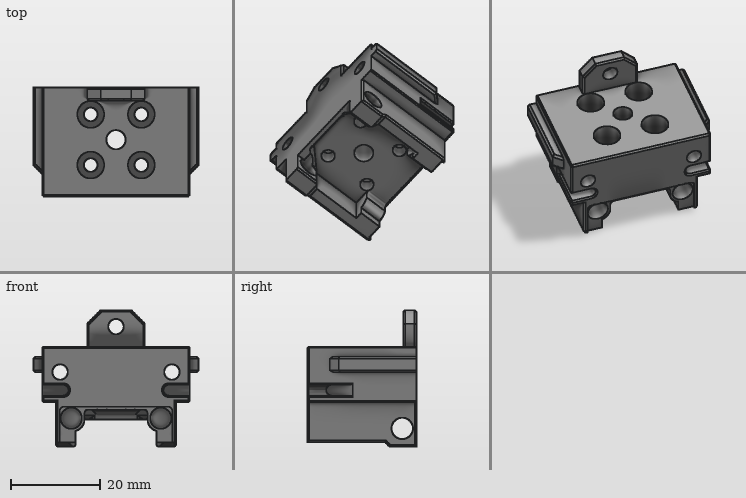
import cadquery as cq
import math

BACK_Y = 11.73
DEPTH = 24.43
FRONT_Y = BACK_Y - DEPTH
EDGE_CHAMFER = 0.4
SIDE_CHAMFER = 0.3
BACK_CHAMFER = 0.5
SCREW_DIA = 3.4

BODY_HALF = 16.5
BODY_BOTTOM = 10.0
BODY_TOP = 22.4
SKIRT_HALF = 13.45

FOOT_DROP = 1.0
FOOT_LENGTH = 6.05
LEG_INNER = 9.0

TAB_TOP = 30.56
TAB_HALF = 6.45
TAB_CORNER = 3.05
TAB_THICK = 3.0
TAB_HOLE_Z = 26.85

RAIL_OUT = 2.0
RAIL_BOTTOM = 16.65
RAIL_HEIGHT = 3.5
RAIL_LENGTH = 19.4
RAIL_CHAMFER = 0.5

SIDE_HOLE_X = 12.5
SIDE_HOLE_Z = 16.7

SLOT_HEIGHT = 2.4
SLOT_Z = 12.65
SLOT_END = 10.6
SLOT_DEPTH = 10.1
SLOT_CHAMFER = 0.35

BOLT_CIRCLE_DIA = 16.0
BOLT_DIA = 3.0
COUNTERBORE_DIA = 6.0
COUNTERBORE_DEPTH = 10.0
CENTRE_BORE_DIA = 4.25

SOCKET_X = 10.0
SOCKET_Z = 6.37
SOCKET_DIA = 4.75
SOCKET_DEPTH = 5.0
BOSS_RADIUS = 3.05
RECESS_DEPTH = 0.5
RECESS_HALF = 12.6
RECESS_TOP = 8.97
RECESS_CORNER = 1.0
LEG_BLOCK_DEPTH = 5.9

BAY_TOP = 8.3
BAY_HALF = 10.7
BAY_FLAT_HALF = 4.75
BAY_SLOPE = 0.7
BAY_FILLET = 1.4
THROAT_HALF = 7.05
THROAT_CORNER = 0.9
BRIDGE_BOTTOM = 6.07
UNDERCUT = 0.95

PIN_DIA = 4.75
PIN_FROM_BACK = 3.22
PIN_Z = 4.1


def box(x0, x1, y0, y1, z0, z1):
    return cq.Workplane("XY").box(x1 - x0, y1 - y0, z1 - z0, centered=False).translate((x0, y0, z0))


def both_sides(shape):
    """Join a shape with its mirror image across the YZ plane."""
    return shape.union(shape.mirror("YZ"))


def rod_along_y(x, z, dia, y0, y1):
    return cq.Workplane("XZ", origin=(x, y1, z)).circle(dia / 2).extrude(y1 - y0)


def make_upper_block():
    block = box(-BODY_HALF, BODY_HALF, FRONT_Y, BACK_Y, BODY_BOTTOM, BODY_TOP)
    block = block.edges("|Y").chamfer(SIDE_CHAMFER)
    return block.faces("<Y").edges().chamfer(EDGE_CHAMFER)


def make_skirt():
    """Solid under the block, with a 45 degree step at the bottom between leg and foot."""
    overlap_top = BODY_BOTTOM + 1.0
    step_y = BACK_Y - FOOT_LENGTH
    skirt = (
        cq.Workplane("YZ", origin=(-SKIRT_HALF, 0, 0))
        .moveTo(FRONT_Y, overlap_top)
        .lineTo(FRONT_Y, FOOT_DROP)
        .lineTo(step_y - FOOT_DROP, FOOT_DROP)
        .lineTo(step_y, 0)
        .lineTo(BACK_Y, 0)
        .lineTo(BACK_Y, overlap_top)
        .close()
        .extrude(2 * SKIRT_HALF)
    )
    return skirt.faces("<X or >X").edges("not >Z").chamfer(EDGE_CHAMFER)


def make_tab():
    shoulder_z = TAB_TOP - TAB_CORNER
    shoulder_x = TAB_HALF - TAB_CORNER
    tab = (
        cq.Workplane("XZ", origin=(0, BACK_Y, 0))
        .moveTo(-TAB_HALF, BODY_BOTTOM)
        .lineTo(-TAB_HALF, shoulder_z)
        .lineTo(-shoulder_x, TAB_TOP)
        .lineTo(shoulder_x, TAB_TOP)
        .lineTo(TAB_HALF, shoulder_z)
        .lineTo(TAB_HALF, BODY_BOTTOM)
        .close()
        .extrude(TAB_THICK)
    )
    tab = tab.faces("<Y").edges("not <Z").chamfer(EDGE_CHAMFER)
    tab = tab.faces(">Y").edges("not <Z").chamfer(BACK_CHAMFER)
    above = box(-BODY_HALF, BODY_HALF, FRONT_Y, BACK_Y, BODY_TOP, TAB_TOP)
    tab = tab.intersect(above)
    return tab.cut(rod_along_y(0, TAB_HOLE_Z, SCREW_DIA, FRONT_Y, BACK_Y))


def make_rails():
    """Rails along both sides, each with a 45 degree nose at the front."""
    tip_y = BACK_Y - RAIL_LENGTH
    rail = (
        cq.Workplane("XY", origin=(0, 0, RAIL_BOTTOM))
        .moveTo(-BODY_HALF, BACK_Y)
        .lineTo(-BODY_HALF - RAIL_OUT, BACK_Y)
        .lineTo(-BODY_HALF - RAIL_OUT, tip_y + RAIL_OUT)
        .lineTo(-BODY_HALF, tip_y)
        .close()
        .extrude(RAIL_HEIGHT)
    )
    outer_edges = rail.faces("<X or (<(1, 1, 0))").edges("not |Z")
    return both_sides(outer_edges.chamfer(RAIL_CHAMFER))


def make_side_slots():
    """Cutter for the side slots: each is a round-ended slot cut short by a 45 degree wall."""
    radius = SLOT_HEIGHT / 2
    length = 2 * (BODY_HALF - SLOT_END)
    slot = (
        cq.Workplane("XZ", origin=(-BODY_HALF, FRONT_Y, SLOT_Z))
        .slot2D(length, SLOT_HEIGHT)
        .extrude(-SLOT_DEPTH)
    )
    wall = (
        cq.Workplane("XY")
        .moveTo(-BODY_HALF, FRONT_Y)
        .lineTo(-BODY_HALF, FRONT_Y + SLOT_DEPTH)
        .lineTo(-BODY_HALF + SLOT_DEPTH, FRONT_Y)
        .close()
        .extrude(BODY_TOP)
    )
    mouth = (
        cq.Workplane("XZ", origin=(-BODY_HALF, FRONT_Y, SLOT_Z))
        .slot2D(length + 2 * SLOT_CHAMFER, SLOT_HEIGHT + 2 * SLOT_CHAMFER)
        .workplane(offset=-SLOT_CHAMFER)
        .slot2D(length, SLOT_HEIGHT)
        .loft(ruled=True)
    )
    flare = (
        cq.Workplane("XZ", origin=(-BODY_HALF, FRONT_Y, SLOT_Z))
        .moveTo(0, radius + SLOT_CHAMFER)
        .lineTo(SLOT_CHAMFER, radius)
        .lineTo(SLOT_CHAMFER, -radius)
        .lineTo(0, -radius - SLOT_CHAMFER)
        .close()
        .extrude(-SLOT_DEPTH)
    )
    return both_sides(slot.union(mouth).union(flare).intersect(wall))


def make_bolt_holes():
    spread = BOLT_CIRCLE_DIA / 2 / math.sqrt(2)
    centres = [(x, y) for x in (-spread, spread) for y in (-spread, spread)]
    bolts = cq.Workplane("XY").pushPoints(centres).circle(BOLT_DIA / 2).extrude(BODY_TOP)
    bores = (
        cq.Workplane("XY", origin=(0, 0, BODY_TOP - COUNTERBORE_DEPTH))
        .pushPoints(centres)
        .circle(COUNTERBORE_DIA / 2)
        .extrude(COUNTERBORE_DEPTH)
    )
    centre = cq.Workplane("XY").circle(CENTRE_BORE_DIA / 2).extrude(BODY_TOP)
    return bolts.union(bores).union(centre)


def make_channel():
    """Open channel between the legs, with the front bosses left standing."""
    channel = (
        cq.Workplane("XZ", origin=(0, BACK_Y, 0))
        .moveTo(-LEG_INNER - EDGE_CHAMFER, 0)
        .lineTo(-LEG_INNER, EDGE_CHAMFER)
        .lineTo(-LEG_INNER, BRIDGE_BOTTOM)
        .lineTo(LEG_INNER, BRIDGE_BOTTOM)
        .lineTo(LEG_INNER, EDGE_CHAMFER)
        .lineTo(LEG_INNER + EDGE_CHAMFER, 0)
        .close()
        .extrude(DEPTH)
    )
    block_back = FRONT_Y + LEG_BLOCK_DEPTH
    throat = box(-THROAT_HALF, THROAT_HALF, FRONT_Y, block_back, 0, BAY_TOP)
    throat = throat.edges("|Y and >Z").fillet(THROAT_CORNER)
    bosses = both_sides(rod_along_y(-SOCKET_X, SOCKET_Z, 2 * BOSS_RADIUS, FRONT_Y, block_back))
    return channel.cut(bosses).union(throat)


def make_bay():
    """Wide pocket behind the legs with 45 degree rear corners and a sloped, blended rear wall."""
    front_y = FRONT_Y + LEG_BLOCK_DEPTH
    corner = BAY_HALF - BAY_FLAT_HALF
    rear_y = BACK_Y - FOOT_LENGTH - FOOT_DROP + corner
    bay = (
        cq.Workplane("XY")
        .moveTo(-BAY_HALF, front_y)
        .lineTo(-BAY_HALF, rear_y - corner)
        .lineTo(-BAY_FLAT_HALF, rear_y)
        .lineTo(BAY_FLAT_HALF, rear_y)
        .lineTo(BAY_HALF, rear_y - corner)
        .lineTo(BAY_HALF, front_y)
        .close()
        .extrude(BAY_TOP)
    )
    bay = bay.faces(">Y").edges(">Z").chamfer(BAY_SLOPE)
    rear_edges = bay.faces(">Y").edges("not <Z")
    bay = rear_edges.fillet(BAY_FILLET)

    wall_start = (-BAY_HALF, rear_y - corner, BRIDGE_BOTTOM)
    along_wall = cq.Plane(origin=wall_start, xDir=(-1, 1, 0), normal=(1, 1, 0))
    undercut = (
        cq.Workplane(along_wall)
        .lineTo(0, UNDERCUT)
        .lineTo(UNDERCUT, 0)
        .close()
        .extrude(2 * corner)
        .intersect(box(-LEG_INNER, 0, front_y, rear_y, 0, BAY_TOP))
    )
    return bay.union(both_sides(undercut))


def make_recess():
    recess = box(-RECESS_HALF, RECESS_HALF, FRONT_Y, FRONT_Y + RECESS_DEPTH, 0, RECESS_TOP)
    return recess.edges("|Y and >Z").fillet(RECESS_CORNER)


def make_side_holes():
    return both_sides(rod_along_y(-SIDE_HOLE_X, SIDE_HOLE_Z, SCREW_DIA, FRONT_Y, BACK_Y))


def make_sockets():
    return both_sides(rod_along_y(-SOCKET_X, SOCKET_Z, SOCKET_DIA, FRONT_Y, FRONT_Y + SOCKET_DEPTH))


def make_pin_hole():
    pin = cq.Workplane("YZ", origin=(-SKIRT_HALF, BACK_Y - PIN_FROM_BACK, PIN_Z)).circle(PIN_DIA / 2)
    return pin.extrude(2 * SKIRT_HALF)


result = make_upper_block()
for addition in (make_skirt(), make_tab(), make_rails()):
    result = result.union(addition)

cutters = (
    make_channel(),
    make_bay(),
    make_recess(),
    make_side_slots(),
    make_bolt_holes(),
    make_side_holes(),
    make_sockets(),
    make_pin_hole(),
)
for cutter in cutters:
    result = result.cut(cutter)